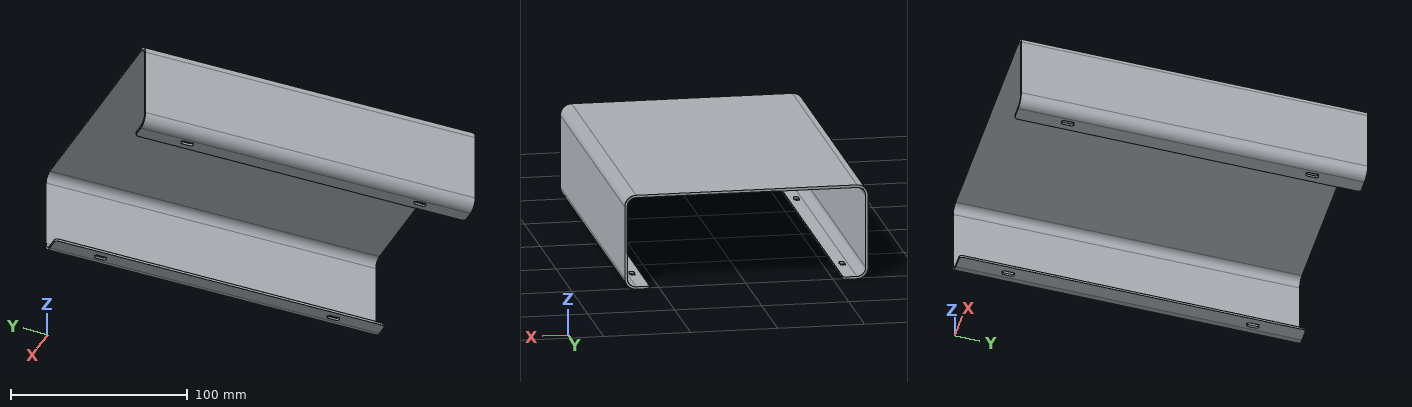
import cadquery as cq

width = 140.0
length = 204.0
height = 55.0

thickness = 1.5
bend_radius = 6.5

lip_reach = 14.5
lip_corner_radius = 1.8

slot_length = 7.3
slot_width = 2.9
slot_edge_offset = 4.9
slot_end_offset = 30.0

opening = width - 2 * lip_reach


def rounded_bar(bar_width, bar_height, radius):
    """Full-length rectangular bar, centred, with its long edges rounded."""
    return cq.Workplane("XY").box(bar_width, length, bar_height).edges("|Y").fillet(radius)


def folded_sheet():
    """Closed bent tube, opened along the bottom to leave two lips."""
    outside = rounded_bar(width, height, bend_radius)
    inside = rounded_bar(width - 2 * thickness, height - 2 * thickness, bend_radius - thickness)
    gap = cq.Workplane("XY").box(opening, length, 2 * thickness).translate((0, 0, -height / 2))
    return outside.cut(inside).cut(gap)


def round_lip_corners(sheet):
    """Round the free corners of both lips."""
    lip_band = cq.selectors.BoxSelector(
        (-opening / 2 - thickness, -length, -height),
        (opening / 2 + thickness, length, 0),
    )
    return sheet.edges("|Z").edges(lip_band).fillet(lip_corner_radius)


def lip_slots():
    """One slot near each end of each lip."""
    slot_x = opening / 2 + slot_edge_offset
    slot_y = length / 2 - slot_end_offset
    return (
        cq.Workplane("XY", origin=(0, 0, -height / 2))
        .rect(2 * slot_x, 2 * slot_y, forConstruction=True)
        .vertices()
        .slot2D(slot_length, slot_width, 90)
        .extrude(2 * thickness, both=True)
    )


result = round_lip_corners(folded_sheet()).cut(lip_slots())